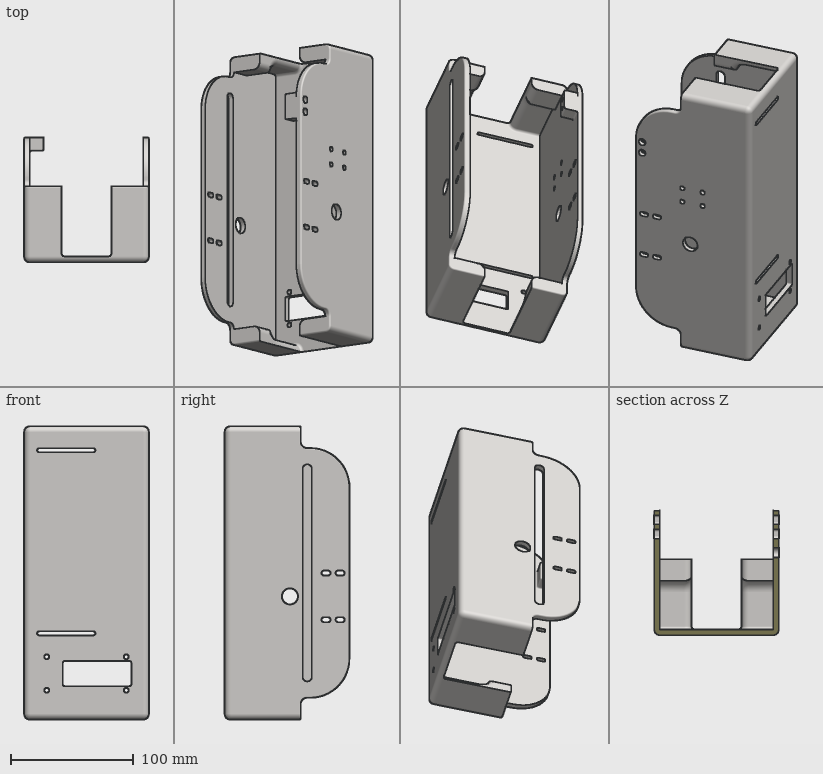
import cadquery as cq
import math

width = 101.7
depth = 101.7
height = 238.8
corner_radius = 4.8
rim_radius = 1.34

side_wall = 4.8
front_wall = 5.0
plate = 6.0

box_depth = 62.0
cheek_inset = 17.7
cheek_radius = 32.0
shoulder_radius = 5.0

notch_width = 40.4
notch_edge_radius = 5.7
notch_corner_radius = 2.5

rib_height = 13.0
rib_curve_start = 35.3
rib_curve_radius = 9.5

screw_hole_diameter = 3.8

cable_slot_length = 47.3
cable_slot_width = 3.0
cable_slot_x = 34.5
cable_slot_heights = (70.2, 219.2)
window_width = 55.6
window_height = 20.3
window_x = 59.5
window_z = 37.5
window_radius = 1.5
window_screw_x = width / 2
window_screw_spacing_x = 64.7
window_screw_spacing_z = 27.2

axle_diameter = 13.0
axle_y = 53.2
axle_z = 100.3
side_slot_length = 7.2
side_slot_width = 3.8
side_slot_y = 88.3
side_slot_z = 100.3
side_slot_spacing_y = 11.5
side_slot_spacing_z = 38.0

left_screw_y = 51.3
left_screw_z = 145.0
left_screw_spacing_y = 18.0
left_screw_spacing_z = 12.7

guide_slot_length = 176.7
guide_slot_width = 7.6
guide_slot_y = 67.3
guide_slot_z = height / 2

block_length = 11.2
block_depth = 11.0
block_height = 21.0
block_z = 181.7
block_radius = 1.5
clamp_screw_y = 95.7
clamp_screw_spacing = 10.0
clamp_screw_diameter = 3.0
clamp_head_diameter = 5.7
clamp_head_depth = side_wall

margin = 0.12


def edges_within(body, low, high):
    """Edges whose centre lies inside the box between two opposite corners."""
    return body.edges(cq.selectors.BoxSelector(low, high))


def side_profile():
    """Outline of the whole part in the YZ plane."""
    cheek_top = height - cheek_inset
    return (
        cq.Workplane("YZ")
        .lineTo(box_depth, 0)
        .lineTo(box_depth, cheek_inset - shoulder_radius)
        .radiusArc((box_depth + shoulder_radius, cheek_inset), shoulder_radius)
        .lineTo(depth - cheek_radius, cheek_inset)
        .radiusArc((depth, cheek_inset + cheek_radius), -cheek_radius)
        .lineTo(depth, cheek_top - cheek_radius)
        .radiusArc((depth - cheek_radius, cheek_top), -cheek_radius)
        .lineTo(box_depth + shoulder_radius, cheek_top)
        .radiusArc((box_depth, cheek_top + shoulder_radius), shoulder_radius)
        .lineTo(box_depth, height)
        .lineTo(0, height)
        .close()
    )


def outer_body():
    """Solid outer shape with rounded box edges and a softened rear rim."""
    body = side_profile().extrude(width)
    box_edges = body.faces("<Y").edges()
    for z in (0, height):
        low = (-margin, margin, z - margin)
        high = (width + margin, box_depth - margin, z + margin)
        box_edges = box_edges.add(edges_within(body, low, high))
    body = box_edges.fillet(corner_radius)

    rear_low = (-margin, box_depth - margin, -margin)
    rear_high = (width + margin, depth + margin, height + margin)
    rear_edges = edges_within(body, rear_low, rear_high)
    inner_low = (margin, box_depth - margin, corner_radius)
    inner_high = (width - margin, depth + margin, height - corner_radius)
    cross_edges = edges_within(body, inner_low, inner_high).vals()
    rim = [edge for edge in rear_edges.vals() if not any(edge.isSame(other) for other in cross_edges)]
    return body.newObject(rim).fillet(rim_radius)


def cavity():
    """Inner space, open to the rear; each plate curves up into its thickened rear part."""
    rib_rise = rib_height - plate
    rib_run = math.sqrt(rib_curve_radius**2 - (rib_curve_radius - rib_rise) ** 2)
    rib_front = rib_curve_start + rib_run
    return (
        cq.Workplane("YZ", origin=(side_wall, 0, 0))
        .moveTo(front_wall, plate)
        .lineTo(rib_curve_start, plate)
        .radiusArc((rib_front, rib_height), -rib_curve_radius)
        .lineTo(depth, rib_height)
        .lineTo(depth, height - rib_height)
        .lineTo(rib_front, height - rib_height)
        .radiusArc((rib_curve_start, height - plate), -rib_curve_radius)
        .lineTo(front_wall, height - plate)
        .close()
        .extrude(width - 2 * side_wall)
    )


def cut_notch(body):
    """Split both plates and round the inner edges of the four tabs."""
    notch_left = (width - notch_width) / 2
    notch_right = notch_left + notch_width
    opening = cq.Workplane("XY", origin=(notch_left, front_wall, 0)).box(
        notch_width, depth, height, centered=False
    )
    body = body.cut(opening)
    for x in (notch_left, notch_right):
        for z_low, z_high in ((plate, rib_height), (height - rib_height, height - plate)):
            low = (x - margin, front_wall + margin, z_low - margin)
            high = (x + margin, box_depth - margin, z_high + margin)
            body = edges_within(body, low, high).fillet(notch_edge_radius)
    for x in (notch_left, notch_right):
        for z_low, z_high in ((0, plate), (height - plate, height)):
            low = (x - margin, front_wall - margin, z_low - margin)
            high = (x + margin, front_wall + margin, z_high + margin)
            body = edges_within(body, low, high).edges("|Z").fillet(notch_corner_radius)
    return body


def rectangle_points(x, y, spacing_x, spacing_y):
    """Corners of a rectangle centred on (x, y)."""
    return [(x + i * spacing_x / 2, y + j * spacing_y / 2) for i in (-1, 1) for j in (-1, 1)]


def front_openings():
    inner_face = cq.Workplane("XZ", origin=(0, front_wall, 0))
    cable_slots = (
        inner_face.pushPoints([(cable_slot_x, z) for z in cable_slot_heights])
        .slot2D(cable_slot_length, cable_slot_width)
        .extrude(front_wall)
    )
    window = (
        inner_face.center(window_x, window_z)
        .rect(window_width, window_height)
        .extrude(front_wall)
        .edges("|Y")
        .fillet(window_radius)
    )
    screw_points = rectangle_points(
        window_screw_x, window_z, window_screw_spacing_x, window_screw_spacing_z
    )
    screws = inner_face.pushPoints(screw_points).circle(screw_hole_diameter / 2).extrude(front_wall)
    return cable_slots.union(window).union(screws)


def side_openings():
    left_face = cq.Workplane("YZ")
    axle = left_face.center(axle_y, axle_z).circle(axle_diameter / 2).extrude(width)
    slot_points = rectangle_points(side_slot_y, side_slot_z, side_slot_spacing_y, side_slot_spacing_z)
    slots = left_face.pushPoints(slot_points).slot2D(side_slot_length, side_slot_width).extrude(width)
    screw_points = rectangle_points(
        left_screw_y, left_screw_z, left_screw_spacing_y, left_screw_spacing_z
    )
    screws = left_face.pushPoints(screw_points).circle(screw_hole_diameter / 2).extrude(side_wall)
    guide_slot = (
        cq.Workplane("YZ", origin=(width - side_wall, 0, 0))
        .center(guide_slot_y, guide_slot_z)
        .slot2D(guide_slot_length, guide_slot_width, 90)
        .extrude(side_wall)
    )
    return axle.union(slots).union(screws).union(guide_slot)


def add_clamp_block(body):
    """Block flush with the rear edge of the left wall, rounded outside and at its root."""
    block_front = depth - block_depth
    block_bottom = block_z - block_height / 2
    block_top = block_z + block_height / 2
    block = (
        cq.Workplane("XY", origin=(side_wall, block_front, block_bottom))
        .box(block_length, block_depth, block_height, centered=False)
        .edges("(>X or <Y) and (not <X) and (not >Y)")
        .fillet(block_radius)
    )
    body = body.union(block)
    low = (side_wall - margin, block_front - margin, block_bottom - margin)
    high = (side_wall + margin, depth - margin, block_top + margin)
    return edges_within(body, low, high).fillet(block_radius)


def clamp_screws():
    screw_points = [(clamp_screw_y, block_z + side * clamp_screw_spacing / 2) for side in (-1, 1)]
    holes = cq.Workplane("YZ").pushPoints(screw_points)
    shanks = holes.circle(clamp_screw_diameter / 2).extrude(side_wall + block_length)
    heads = holes.circle(clamp_head_diameter / 2).extrude(clamp_head_depth)
    return shanks.union(heads)


body = cut_notch(outer_body().cut(cavity()))
body = body.cut(front_openings()).cut(side_openings())
result = add_clamp_block(body).cut(clamp_screws())